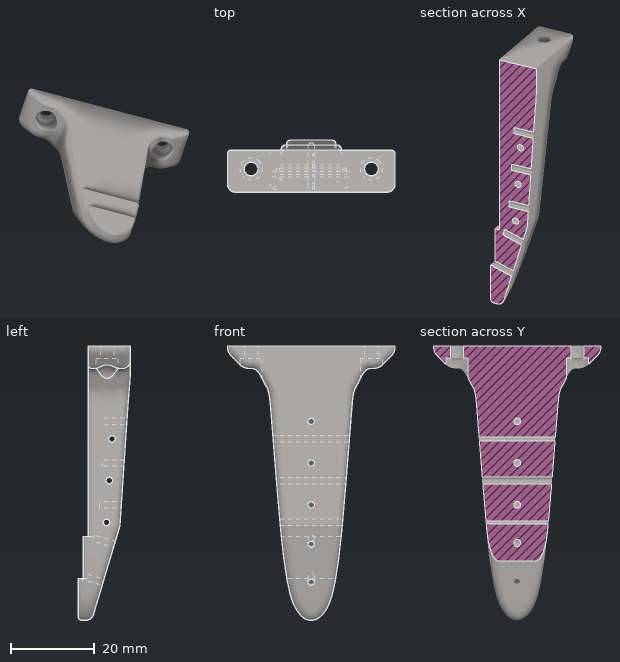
import cadquery as cq
import math

width = 40.0
height = 65.5
depth = 12.5
half_width = width / 2

plate_depth = 10.1
plate_thickness = 5.45
plate_slope_corner = 1.5
plate_end_radius = 3.0
plate_flat_end = 14.3

neck_bottom = -13.5
neck_half_width = 9.8
neck_front = 0.5
neck_blend_points = [(12.6, -6.35), (11.1, -9.1)]
bend_height = -42.95
bend_half_width = 7.4
bend_front = 2.5
bend_radius = 3.9
tip_side_point = (5.6, -56.65)
tip_end_point = (3.1, -63.6)
tip_front = 9.25

step_heights = (-45.45, -55.5)
step_size = (depth - plate_depth) / len(step_heights)

front_radius = 1.95
back_radius = 0.9
tolerance = 0.05

screw_spacing = 28.7
screw_diameter = 3.2
screw_head_diameter = 5.25
screw_seat = -3.0
screw_head_reach = 9.8
screw_from_back = 4.5

pin_diameter = 1.5
pin_pitch = 9.95
front_pin_top = -18.0
pin_pairs = 3
slope_pin_heights = (-47.35, -56.4)
pin_depth = 5.25
pin_lead_in = 0.65
cross_pin_top = -22.2
cross_pin_inset = 3.3

upper_angle = math.atan2(bend_front - neck_front, neck_bottom - bend_height)
slope_angle = math.atan2(tip_front - bend_front, bend_height + height)


def front_outline():
    """Silhouette of plate and leg in the XZ plane, extruded through the full depth."""
    slope_drop = plate_thickness - plate_slope_corner
    leg_direction = (bend_half_width - neck_half_width, bend_height - neck_bottom)
    outline = (
        cq.Workplane("XZ")
        .moveTo(0, 0)
        .lineTo(half_width, 0)
        .lineTo(half_width, -plate_slope_corner)
        .lineTo(half_width - slope_drop, -plate_thickness)
        .lineTo(plate_flat_end, -plate_thickness)
        .spline(
            [*neck_blend_points, (neck_half_width, neck_bottom)],
            tangents=[(-1, 0), leg_direction],
            includeCurrent=True,
        )
        .spline(
            [(bend_half_width, bend_height), tip_side_point, tip_end_point, (0, -height)],
            tangents=[leg_direction, (-1, 0)],
            includeCurrent=True,
        )
        .mirrorY()
        .extrude(-depth)
    )
    slope_corners = [
        (side * x, depth / 2, z)
        for side in (-1, 1)
        for x, z in ((half_width, -plate_slope_corner), (half_width - slope_drop, -plate_thickness))
    ]
    for corner in slope_corners:
        outline = outline.edges(cq.selectors.NearestToPointSelector(corner)).fillet(plate_end_radius)
    return outline


def side_profile():
    """Stepped back and bent front of the part, extruded along X."""
    profile = cq.Workplane("YZ", origin=(-half_width, 0, 0)).moveTo(0, 0).lineTo(plate_depth, 0)
    back = plate_depth
    for step_height in step_heights:
        profile = profile.lineTo(back, step_height)
        back += step_size
        profile = profile.lineTo(back, step_height)
    profile = (
        profile.lineTo(depth, -height)
        .lineTo(tip_front, -height)
        .lineTo(bend_front, bend_height)
        .lineTo(neck_front, neck_bottom)
        .spline(
            [(0, -plate_thickness)],
            tangents=[(neck_front - bend_front, neck_bottom - bend_height), (0, 1)],
            includeCurrent=True,
        )
        .close()
        .extrude(width)
    )
    bend = cq.selectors.NearestToPointSelector((0, bend_front, bend_height))
    return profile.edges(bend).fillet(bend_radius)


def outline_edges(body, on_back):
    """Edges that follow the silhouette, either on the back faces or on the front."""
    chosen = []
    for edge in body.edges().vals():
        box = edge.BoundingBox()
        runs_along_outline = box.zlen > tolerance
        if runs_along_outline and (box.ymin > plate_depth - tolerance) == on_back:
            chosen.append(edge)
    return body.newObject(chosen)


def drill(start, direction, diameter, length):
    """Straight hole as a solid cylinder."""
    return cq.Workplane(cq.Solid.makeCylinder(diameter / 2, length, cq.Vector(*start), cq.Vector(*direction)))


def screw_holes():
    """Through holes in the plate with head clearance cut from below."""
    holes = cq.Workplane()
    for x in (-screw_spacing / 2, screw_spacing / 2):
        y = plate_depth - screw_from_back
        holes = holes.add(drill((x, y, 0), (0, 0, -1), screw_diameter, plate_thickness))
        holes = holes.add(drill((x, y, screw_seat), (0, 0, -1), screw_head_diameter, screw_head_reach))
    return holes.combine()


def front_y(z):
    """Depth of the front face of the leg at height z."""
    if z > bend_height:
        return bend_front - (z - bend_height) * math.tan(upper_angle)
    return bend_front + (bend_height - z) * math.tan(slope_angle)


def pin_holes():
    """Blind holes in the front of the leg and cross holes through its sides."""
    holes = cq.Workplane()
    for i in range(pin_pairs):
        z = front_pin_top - i * pin_pitch
        start = (0, front_y(z) - pin_lead_in, z)
        holes = holes.add(drill(start, (0, 1, 0), pin_diameter, pin_depth + pin_lead_in))
        z = cross_pin_top - i * pin_pitch
        start = (-half_width, front_y(z) + cross_pin_inset, z)
        holes = holes.add(drill(start, (1, 0, 0), pin_diameter, width))
    inward = (0, math.cos(slope_angle), math.sin(slope_angle))
    for z in slope_pin_heights:
        start = (0, front_y(z) - pin_lead_in * inward[1], z - pin_lead_in * inward[2])
        holes = holes.add(drill(start, inward, pin_diameter, pin_depth + pin_lead_in))
    return holes.combine()


body = front_outline().intersect(side_profile())
body = outline_edges(body, on_back=False).fillet(front_radius)
body = outline_edges(body, on_back=True).fillet(back_radius)
result = body.cut(screw_holes()).cut(pin_holes())